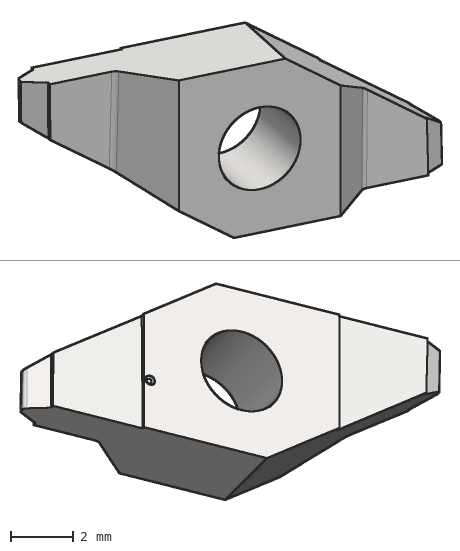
import cadquery as cq
import math

LENGTH = 15.0
WIDTH = 3.0
HEIGHT = 6.0

END_HEIGHT = 1.45
SLOPE_START = 0.92

BODY_HALF_LENGTH = 3.51
BACK_CORNER_Y = 2.88
BORE_DIAMETER = 2.91

BLADE_LEFT = 0.09
BLADE_RIGHT = 1.47
SHOULDER_Y = 6.74
FLANK_ANGLE = 30.0
TIP_HALF_WIDTH = 0.12
TIP_RADIUS = 0.18
CLEARANCE_ANGLE = 1.0
BLEND_RADIUS = 0.3
ROOT_SEARCH_REACH = 0.3
UPRIGHT_TOLERANCE = 0.1

DIMPLE_Y = 3.28
DIMPLE_Z = -1.2
DIMPLE_RADIUS = 0.16
DIMPLE_FLOOR_RADIUS = 0.09
DIMPLE_DEPTH = 0.08

half_length = LENGTH / 2
half_height = HEIGHT / 2
blade_center_x = (BLADE_LEFT + BLADE_RIGHT) / 2


def make_side_envelope():
    """Side outline in Y and Z, carried through the full width."""
    outline = [
        (half_length, -half_height),
        (half_length, -half_height + END_HEIGHT),
        (SLOPE_START, half_height),
        (-half_length, half_height),
        (-half_length, half_height - END_HEIGHT),
        (-SLOPE_START, -half_height),
    ]
    return cq.Workplane("YZ").polyline(outline).close().extrude(WIDTH)


def make_body():
    """Thick middle whose 45 degree back corners run on into the blades."""
    wedge_y = BACK_CORNER_Y + WIDTH - blade_center_x
    outline = [
        (0, -BODY_HALF_LENGTH),
        (blade_center_x, -BODY_HALF_LENGTH),
        (blade_center_x, -wedge_y),
        (WIDTH, -BACK_CORNER_Y),
        (WIDTH, BACK_CORNER_Y),
        (blade_center_x, wedge_y),
        (blade_center_x, BODY_HALF_LENGTH),
        (0, BODY_HALF_LENGTH),
    ]
    base = cq.Workplane("XY").workplane(offset=-half_height)
    return base.polyline(outline).close().extrude(HEIGHT)


def make_front_blade():
    """Blade at the -Y end, narrowing downwards from the cutting edges on its top face."""
    flank = math.radians(FLANK_ANGLE)
    shoulder_depth = half_length - SHOULDER_Y
    flank_half_width = TIP_HALF_WIDTH + shoulder_depth * math.tan(flank)
    corner_x = blade_center_x - TIP_HALF_WIDTH
    half_sweep = (math.pi / 2 - flank) / 2
    tangent_length = TIP_RADIUS * math.tan(half_sweep)
    round_end_x = corner_x + tangent_length
    round_start = (
        corner_x - tangent_length * math.sin(flank),
        -half_length + tangent_length * math.cos(flank),
    )
    round_middle = (
        round_end_x - TIP_RADIUS * math.sin(half_sweep),
        -half_length + TIP_RADIUS * (1 - math.cos(half_sweep)),
    )
    return (
        cq.Workplane("XY")
        .workplane(offset=half_height)
        .moveTo(BLADE_LEFT, -BACK_CORNER_Y)
        .lineTo(BLADE_LEFT, -SHOULDER_Y)
        .lineTo(blade_center_x - flank_half_width, -SHOULDER_Y)
        .lineTo(*round_start)
        .threePointArc(round_middle, (round_end_x, -half_length))
        .lineTo(blade_center_x + TIP_HALF_WIDTH, -half_length)
        .lineTo(blade_center_x + flank_half_width, -SHOULDER_Y)
        .lineTo(BLADE_RIGHT, -SHOULDER_Y)
        .lineTo(BLADE_RIGHT, -BACK_CORNER_Y)
        .close()
        .extrude(-HEIGHT, taper=CLEARANCE_ANGLE)
    )


def blend_blade_roots(part):
    """Round the inner corners where the blades meet the 45 degree walls."""
    root_y = BACK_CORNER_Y + WIDTH - BLADE_RIGHT
    reach = ROOT_SEARCH_REACH
    for side in (-1, 1):
        low_corner = (BLADE_RIGHT - reach, side * root_y - reach, -half_height - reach)
        high_corner = (BLADE_RIGHT + reach, side * root_y + reach, half_height + reach)
        near_root = part.edges(cq.selectors.BoxSelector(low_corner, high_corner))
        upright = cq.selectors.ParallelDirSelector(cq.Vector(0, 0, 1), UPRIGHT_TOLERANCE)
        part = near_root.edges(upright).fillet(BLEND_RADIUS)
    return part


def make_dimple():
    """Shallow cone sunk into the flat side."""
    start = cq.Vector(0, DIMPLE_Y, DIMPLE_Z)
    inward = cq.Vector(1, 0, 0)
    return cq.Solid.makeCone(DIMPLE_RADIUS, DIMPLE_FLOOR_RADIUS, DIMPLE_DEPTH, start, inward)


front_blade = make_front_blade()
rear_blade = front_blade.rotate((0, 0, 0), (1, 0, 0), 180)
bore = cq.Workplane("YZ").circle(BORE_DIAMETER / 2).extrude(WIDTH)

result = make_body().union(front_blade).union(rear_blade)
result = blend_blade_roots(result)
result = result.intersect(make_side_envelope()).cut(bore).cut(make_dimple())